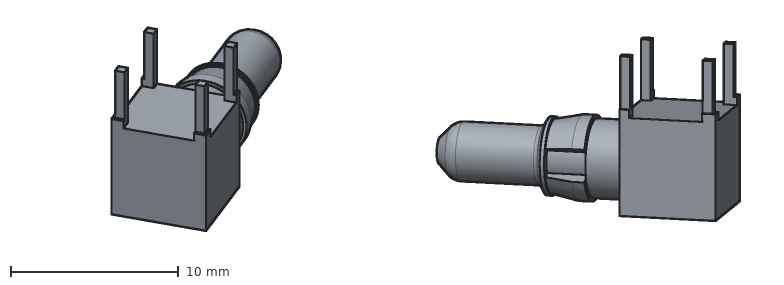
import cadquery as cq
import math

block_width = 6.0
block_length = 5.9
block_height = 6.0

pin_side = 0.6
pin_pitch = 5.08
pin_length = 3.2
foot_height = 0.5

axis_height = 2.8
contact_length = 11.8
shaft_radius = 3.6 / 2
sleeve_radius = 4.8 / 2
sleeve_length = 2.25

nose_chamfer = 1.0
nose_angle = math.radians(45)
nose_blend_radius = 1.0

flange_radius = 4.75 / 2
flange_distance = 4.79
rim_thickness = 0.27
ramp_angle = math.radians(58)
ramp_blend_radius = 0.32

clip_radius = 5.2 / 2
clip_front_radius = 2.25
clip_gap = 0.05
clip_band_length = 0.79
clip_slot_angle = math.radians(45)


def make_block():
    return cq.Workplane("XY").box(
        block_width, block_length, block_height, centered=(True, False, False)
    ).translate((0, -block_length, 0))


def make_legs():
    """Four square pins, each on a foot that reaches the sides of the block."""
    foot_width = (block_width - pin_pitch + pin_side) / 2
    foot_x = (block_width - foot_width) / 2
    pin_x = pin_pitch / 2

    back_pin_y = -pin_side / 2
    front_pin_y = back_pin_y - pin_pitch
    front_foot_length = block_length - pin_pitch
    front_foot_y = front_foot_length / 2 - block_length

    legs = []
    for side in (-1, 1):
        legs.append(make_post(side * foot_x, back_pin_y, foot_width, pin_side, foot_height))
        legs.append(make_post(side * foot_x, front_foot_y, foot_width, front_foot_length, foot_height))
        for pin_y in (back_pin_y, front_pin_y):
            legs.append(make_post(side * pin_x, pin_y, pin_side, pin_side, foot_height + pin_length))
    return legs


def make_post(x, y, width, length, height):
    """Upright bar standing on the top face of the block."""
    return cq.Workplane("XY", origin=(x, y, block_height)).rect(width, length).extrude(height)


def revolve_about_contact_axis(profile):
    """Turn a (radius, Y) profile about the Y axis and lift it to the contact height."""
    solid = profile.close().revolve(360, (0, 0, 0), (0, 1, 0))
    return solid.translate((0, 0, axis_height))


def make_contact():
    nose_tangent = nose_blend_radius * math.tan(nose_angle / 2)
    nose_corner_y = contact_length - nose_chamfer
    nose_offset = nose_tangent * math.cos(nose_angle)

    rim_end_y = flange_distance + rim_thickness
    ramp_corner_y = rim_end_y + (flange_radius - shaft_radius) / math.tan(ramp_angle)
    ramp_tangent = ramp_blend_radius * math.tan(ramp_angle / 2)
    ramp_start_y = ramp_corner_y - ramp_tangent * math.cos(ramp_angle)
    ramp_start_radius = shaft_radius + ramp_tangent * math.sin(ramp_angle)

    profile = (
        cq.Workplane("XY")
        .moveTo(0, 0)
        .lineTo(sleeve_radius, 0)
        .lineTo(sleeve_radius, sleeve_length)
        .lineTo(shaft_radius, sleeve_length)
        .lineTo(shaft_radius, flange_distance)
        .lineTo(flange_radius, flange_distance)
        .lineTo(flange_radius, rim_end_y)
        .lineTo(ramp_start_radius, ramp_start_y)
        .radiusArc((shaft_radius, ramp_corner_y + ramp_tangent), ramp_blend_radius)
        .lineTo(shaft_radius, nose_corner_y - nose_tangent)
        .radiusArc((shaft_radius - nose_offset, nose_corner_y + nose_offset), -nose_blend_radius)
        .lineTo(shaft_radius - nose_chamfer, contact_length)
        .lineTo(0, contact_length)
    )
    return revolve_about_contact_axis(profile)


def make_clip():
    clip_start_y = sleeve_length + clip_gap
    profile = (
        cq.Workplane("XY")
        .moveTo(shaft_radius, clip_start_y)
        .lineTo(clip_radius, clip_start_y)
        .lineTo(clip_radius, clip_start_y + clip_band_length)
        .lineTo(clip_front_radius, flange_distance)
        .lineTo(shaft_radius, flange_distance)
    )
    return revolve_about_contact_axis(profile).cut(make_clip_slot())


def make_clip_slot():
    """Wedge with radial walls that opens the clip on its -X side."""
    reach = 2 * clip_radius
    half_opening = reach * math.tan(clip_slot_angle / 2)
    return (
        cq.Workplane("XZ", origin=(0, 0, axis_height))
        .polyline([(0, 0), (-reach, half_opening), (-reach, -half_opening)])
        .close()
        .extrude(-flange_distance)
    )


result = make_block().union(make_contact()).union(make_clip())
for leg in make_legs():
    result = result.union(leg)